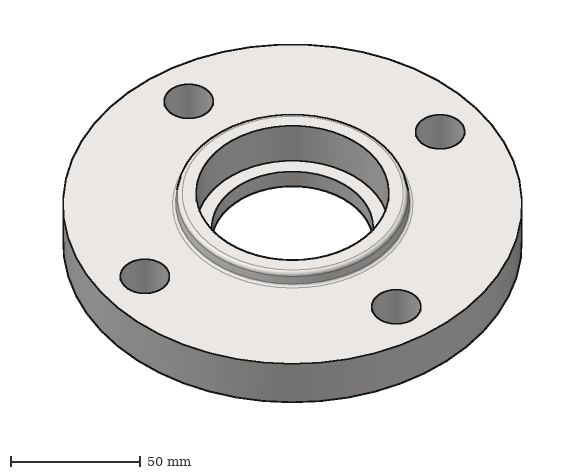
import cadquery as cq

flange_diameter = 177.8
flange_thickness = 20.8
overall_height = 26.8

hub_base_diameter = 91.0
hub_taper_angle = 10.0
hub_top_round = 2.0
hub_root_fillet = 1.2

socket_diameter = 74.7
bore_diameter = 62.5
bore_ledge_height = 8.0

bolt_circle_diameter = 139.7
bolt_hole_diameter = 19.0
bolt_hole_count = 4


def make_body():
    """Flange disc with a tapered hub, rounded at its top edge and filleted at its root."""
    disc = cq.Workplane("XY").circle(flange_diameter / 2).extrude(flange_thickness)
    hub = (
        cq.Workplane("XY", origin=(0, 0, flange_thickness))
        .circle(hub_base_diameter / 2)
        .extrude(overall_height - flange_thickness, taper=hub_taper_angle)
        .faces(">Z")
        .edges()
        .fillet(hub_top_round)
    )
    upper_face = disc.union(hub).faces(">Z[-2]")
    root_edge = upper_face.edges(cq.selectors.RadiusNthSelector(0))
    return root_edge.fillet(hub_root_fillet)


def cut_bore(body):
    """Socket from the hub's top down to the ledge, and a narrower bore through the rest."""
    socket = (
        cq.Workplane("XY", origin=(0, 0, bore_ledge_height))
        .circle(socket_diameter / 2)
        .extrude(overall_height - bore_ledge_height)
    )
    bore = cq.Workplane("XY").circle(bore_diameter / 2).extrude(overall_height)
    return body.cut(socket).cut(bore)


def cut_bolt_holes(body):
    """Through holes evenly spaced on the bolt circle, the first one on the X axis."""
    holes = (
        cq.Workplane("XY")
        .polarArray(bolt_circle_diameter / 2, 0, 360, bolt_hole_count)
        .circle(bolt_hole_diameter / 2)
        .extrude(flange_thickness)
    )
    return body.cut(holes)


result = cut_bolt_holes(cut_bore(make_body()))